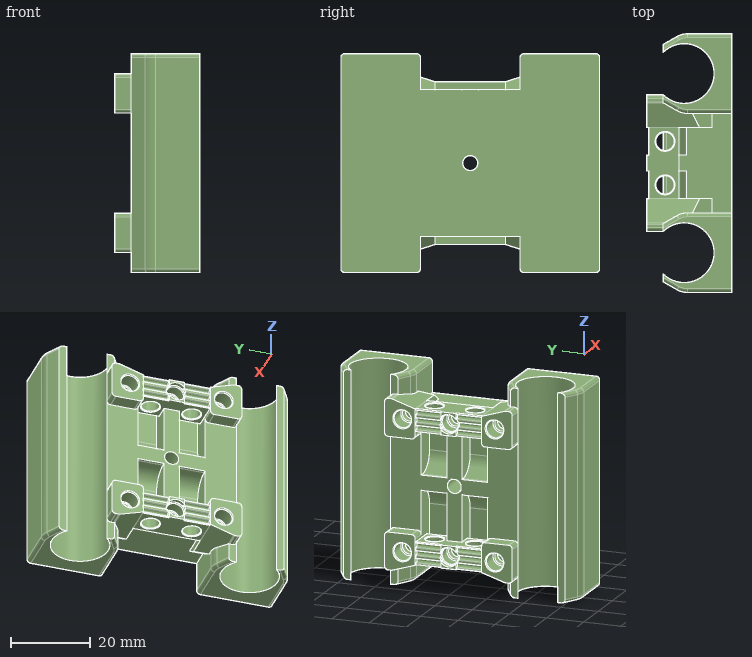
import cadquery as cq
import math


back_x = 21.4
face_x = 4.15
holder_length = 55.0
part_width = 65
holder_width = 20.0
holder_y = (part_width - holder_width) / 2
bore_radius = 7.5
bore_x = 9.4
tip_inset = 2.65
lip_x = 8.85
lip_blend = 5.2
end_round = 1.0

web_half_height = 18.45
web_overlap = 1.0
web_half_width = holder_y - holder_width / 2 + web_overlap
center_hole_diameter = 3.7

pad_inner_y = 8.9
pad_outer_y = holder_y - math.sqrt(bore_radius**2 - (bore_x - face_x)**2)
pad_crest_width = 1.95
pad_top_z = 22.5
pad_bottom_z = 12.55
pad_round = 1.0
shoulder_end_x = 16.45
shoulder_angle = 32.5

bar_bottom_z = 14.4
bar_top_z = 20.5
bar_back_x = 8.05
belt_face_x = 0.5
rib_half_width = 2.0
tooth_pitch = 2.0
tooth_count = 3
tooth_radius = 0.55
tooth_depth = 0.8
tooth_mouth_round = 0.15

pocket_floor_x = 10.0
ramp_radius = 5.0

rib_screw_mouth_x = belt_face_x + tooth_depth
hole_diameter = 4.6
hole_chamfer = 0.2
screw_lead_in = 0.4
screw_z = 17.4
screw_y = 12.4
screw_depth = 5.0
pilot_diameter = 3.7
pilot_depth = 7.0
tie_hole_x = 4.6
tie_hole_y = 5.45


def box(x_range, y_range, z_range):
    """Box spanning the given (low, high) ranges."""
    sizes = [high - low for low, high in (x_range, y_range, z_range)]
    corner = cq.Vector(x_range[0], y_range[0], z_range[0])
    return cq.Workplane(cq.Solid.makeBox(*sizes, corner))


def cylinder(radius, length, start, direction):
    return cq.Workplane(cq.Solid.makeCylinder(radius, length, cq.Vector(*start), cq.Vector(*direction)))


def mirrored_in_y(shape):
    return shape.union(shape.mirror("XZ"))


def mirrored_in_z(shape):
    return shape.union(shape.mirror("XY"))


def holder():
    """Holder block on the +Y side, before boring."""
    half = holder_width / 2
    tip = half - tip_inset
    outline = [
        (face_x, -tip), (lip_x, -half), (back_x, -half),
        (back_x, half), (lip_x, half), (face_x, tip),
    ]
    block = cq.Workplane("XY").polyline(outline).close().extrude(holder_length / 2, both=True)
    block = block.edges("|Z").edges("not(<X or >X)").fillet(lip_blend)
    block = block.faces("<Z or >Z").edges("not(<X or >X)").fillet(end_round)
    return block.translate((0, holder_y, 0))


def bore():
    return cylinder(bore_radius, holder_length, (bore_x, holder_y, -holder_length / 2), (0, 0, 1))


def pad_outline(low_z):
    """Pad outline in the YZ plane: a flat crest and a roof falling towards the bar."""
    return cq.Workplane("YZ").polyline([
        (pad_inner_y, low_z), (pad_outer_y, low_z), (pad_outer_y, pad_top_z),
        (pad_outer_y - pad_crest_width, pad_top_z), (pad_inner_y, bar_top_z),
    ]).close()


def pad():
    block = pad_outline(pad_bottom_z).extrude(face_x)
    lower_edges = block.edges("|X").edges("<Z")
    crest_edges = block.edges("|X").edges(">Z")
    return block.newObject(lower_edges.vals() + crest_edges.vals()).fillet(pad_round)


def shoulder():
    """Continuation of the pad beside the holder, ending in a slope down to the web."""
    block = pad_outline(0).extrude(shoulder_end_x - face_x).translate((face_x, 0, 0))
    rise = (shoulder_end_x - face_x) * math.tan(math.radians(shoulder_angle))
    side = (
        cq.Workplane("XZ")
        .polyline([(face_x, 0), (shoulder_end_x, 0), (shoulder_end_x, web_half_height),
                   (face_x, web_half_height + rise)])
        .close()
        .extrude(-holder_y)
    )
    return block.intersect(side)


def pocket():
    """Pocket behind the bar: a short lip, a quarter-round ramp and a flat floor."""
    ramp_x = pocket_floor_x - ramp_radius
    ramp_end_z = rib_half_width + ramp_radius
    diagonal = ramp_radius * math.sqrt(0.5)
    return (
        cq.Workplane("XZ", origin=(0, rib_half_width, 0))
        .moveTo(face_x, rib_half_width)
        .lineTo(ramp_x, rib_half_width)
        .threePointArc((ramp_x + diagonal, ramp_end_z - diagonal), (pocket_floor_x, ramp_end_z))
        .lineTo(pocket_floor_x, web_half_height)
        .lineTo(face_x, web_half_height)
        .close()
        .extrude(rib_half_width - pad_inner_y)
    )


def tooth_groove(z):
    """Round-bottomed groove along Y with rounded mouth edges."""
    round_z = tooth_radius + tooth_mouth_round
    straight_x = belt_face_x + tooth_mouth_round
    round_start_x = belt_face_x + tooth_depth - tooth_radius
    bulge = tooth_mouth_round * (1 - math.sqrt(0.5))
    return (
        cq.Workplane("XZ", origin=(0, rib_half_width, z))
        .moveTo(belt_face_x, -round_z)
        .threePointArc((belt_face_x + bulge, -tooth_radius - bulge), (straight_x, -tooth_radius))
        .lineTo(round_start_x, -tooth_radius)
        .threePointArc((belt_face_x + tooth_depth, 0), (round_start_x, tooth_radius))
        .lineTo(straight_x, tooth_radius)
        .threePointArc((belt_face_x + bulge, tooth_radius + bulge), (belt_face_x, round_z))
        .close()
        .extrude(rib_half_width - pad_inner_y)
    )


def half_bar():
    """+Y half of the upper bar: the central rib and one toothed face."""
    height = (bar_bottom_z, bar_top_z)
    bar = box((belt_face_x, bar_back_x), (0, pad_inner_y), height)
    bar = bar.union(box((0, bar_back_x), (0, rib_half_width), height))
    for index in range(tooth_count):
        offset = (index - (tooth_count - 1) / 2) * tooth_pitch
        bar = bar.cut(tooth_groove(screw_z + offset))
    return bar


def hole_mouth(start, direction, depth):
    """Cone that widens a hole mouth, narrowing along the given direction."""
    radius = hole_diameter / 2
    return cq.Workplane(cq.Solid.makeCone(
        radius + hole_chamfer, radius, depth, cq.Vector(*start), cq.Vector(*direction)))


def screw_hole(y, mouth_x):
    """Blind stepped screw hole entering from the front, with its tapered mouth at mouth_x."""
    front = (0, y, screw_z)
    mouth = (mouth_x, y, screw_z)
    hole = cylinder(hole_diameter / 2, screw_depth, front, (1, 0, 0))
    hole = hole.union(cylinder(pilot_diameter / 2, pilot_depth, front, (1, 0, 0)))
    hole = hole.union(hole_mouth(mouth, (1, 0, 0), screw_lead_in))
    if mouth_x > 0:
        hole = hole.union(cylinder(hole_diameter / 2 + hole_chamfer, mouth_x, front, (1, 0, 0)))
    return hole


def tie_hole():
    """Vertical hole through the bar, chamfered at both ends."""
    bottom = (tie_hole_x, tie_hole_y, bar_bottom_z)
    top = (tie_hole_x, tie_hole_y, bar_top_z)
    hole = cylinder(hole_diameter / 2, bar_top_z - bar_bottom_z, bottom, (0, 0, 1))
    hole = hole.union(hole_mouth(bottom, (0, 0, 1), hole_chamfer))
    return hole.union(hole_mouth(top, (0, 0, -1), hole_chamfer))


web = box(
    (face_x, back_x),
    (-web_half_width, web_half_width),
    (-web_half_height, web_half_height),
)
web = web.cut(mirrored_in_y(mirrored_in_z(pocket())))

clamps = mirrored_in_y(mirrored_in_z(half_bar().union(pad()).union(shoulder())))
body = web.union(clamps).union(mirrored_in_y(holder()))
body = body.cut(mirrored_in_y(bore()))

for y, mouth_x in ((-screw_y, 0), (0, rib_screw_mouth_x), (screw_y, 0)):
    body = body.cut(mirrored_in_z(screw_hole(y, mouth_x)))
body = body.cut(mirrored_in_y(mirrored_in_z(tie_hole())))
body = body.cut(cylinder(center_hole_diameter / 2, back_x, (0, 0, 0), (1, 0, 0)))

result = body